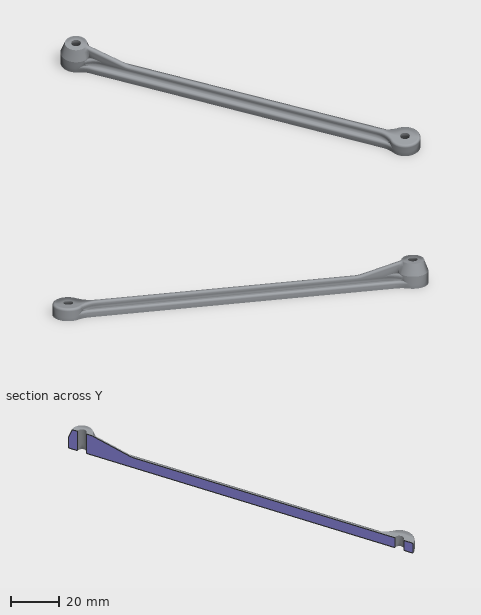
import cadquery as cq
import math

length = 160.0
eye_diameter = 13.0
total_height = 10.5
beam_height = 5.5
hole_diameter = 4.0

flange_width = 9.0
flange_height = 3.0
rib_width = 2.5
edge_radius = 1.0
rib_foot_radius = 0.75
neck_radius = 10.0

boss_top_diameter = 9.3
gusset_slope = 15.0
gusset_foot_reach = 23.2
gusset_blend_radius = 11.0
gusset_root_radius = 1.5

tolerance = 0.01

eye_radius = eye_diameter / 2
eye_x = length / 2 - eye_radius
boss_height = total_height - beam_height
boss_draft = math.degrees(math.atan((eye_diameter - boss_top_diameter) / 2 / boss_height))


def beam_outline(width):
    """Plan outline of two eyes joined by a straight bar, with tangent neck arcs."""
    half = width / 2
    centre_distance = eye_radius + neck_radius
    centre_y = half + neck_radius
    neck_dx = math.sqrt(centre_distance**2 - centre_y**2)
    bar_end = eye_x - neck_dx

    share = eye_radius / centre_distance
    contact_x = eye_x - share * neck_dx
    contact_y = share * centre_y

    eye_angle = math.atan2(-centre_y, neck_dx)
    middle_angle = (eye_angle - math.pi / 2) / 2
    middle_x = bar_end + neck_radius * math.cos(middle_angle)
    middle_y = centre_y + neck_radius * math.sin(middle_angle)

    return (
        cq.Workplane("XY")
        .moveTo(-bar_end, half)
        .lineTo(bar_end, half)
        .threePointArc((middle_x, middle_y), (contact_x, contact_y))
        .threePointArc((eye_x + eye_radius, 0), (contact_x, -contact_y))
        .threePointArc((middle_x, -middle_y), (bar_end, -half))
        .lineTo(-bar_end, -half)
        .threePointArc((-middle_x, -middle_y), (-contact_x, -contact_y))
        .threePointArc((-eye_x - eye_radius, 0), (-contact_x, contact_y))
        .threePointArc((-middle_x, middle_y), (-bar_end, half))
        .close()
    )


def make_flange():
    flange = beam_outline(flange_width).extrude(flange_height)
    return flange.faces(">Z").edges().fillet(edge_radius)


def make_rib():
    """Rib and eyes with rounded top edges and a rounded foot on the flange."""
    rib = beam_outline(rib_width).extrude(beam_height)
    rib = rib.faces(">Z").edges().fillet(edge_radius)

    slab_margin = 10.0
    slab_size = (length + slab_margin, eye_diameter + slab_margin, flange_height)
    slab = cq.Workplane("XY").box(*slab_size, centered=(True, True, False))
    foot_edges = cq.selectors.BoxSelector(
        (-length / 2, -eye_radius, flange_height - tolerance),
        (length / 2, eye_radius, flange_height + tolerance),
    )
    rib = rib.union(slab).edges(foot_edges).fillet(rib_foot_radius)

    flange = make_flange()
    above_flange = beam_outline(flange_width).offset2D(-edge_radius).extrude(beam_height)
    return rib.intersect(flange.union(above_flange))


def make_eye(x):
    return cq.Workplane("XY").center(x, 0).circle(eye_radius)


def make_right_eye():
    eye = make_eye(eye_x).extrude(beam_height)
    return eye.faces(">Z").edges().fillet(edge_radius)


def make_gusset():
    """Sloped web from the boss top down to the rib, blended into the rib top."""
    slope = math.radians(gusset_slope)
    foot_x = -eye_x + gusset_foot_reach
    tangent_length = gusset_blend_radius * math.tan(slope / 2)
    arc_start_x = foot_x - tangent_length * math.cos(slope)
    arc_start_z = beam_height + tangent_length * math.sin(slope)
    arc_end_x = foot_x + tangent_length
    arc_middle_x = arc_end_x - gusset_blend_radius * math.sin(slope / 2)
    arc_middle_z = beam_height + gusset_blend_radius * (1 - math.cos(slope / 2))
    peak_z = beam_height + (foot_x + eye_x) * math.tan(slope)

    gusset = (
        cq.Workplane("XZ")
        .moveTo(-eye_x, flange_height)
        .lineTo(-eye_x, peak_z)
        .lineTo(arc_start_x, arc_start_z)
        .threePointArc((arc_middle_x, arc_middle_z), (arc_end_x, beam_height))
        .lineTo(arc_end_x, flange_height)
        .close()
        .extrude(rib_width / 2, both=True)
    )
    top_edges = cq.selectors.BoxSelector(
        (-eye_x + tolerance, -rib_width, beam_height + tolerance),
        (arc_end_x, rib_width, peak_z - tolerance),
    )
    return gusset.edges(top_edges).fillet(edge_radius)


def make_holes():
    hole_centres = [(-eye_x, 0), (eye_x, 0)]
    return cq.Workplane("XY").pushPoints(hole_centres).circle(hole_diameter / 2).extrude(total_height)


def make_boss_with_gusset():
    """Tapered boss on the left eye with the gusset joined on by a rounded root."""
    cone_overrun = 2.5
    cone_height = boss_height + cone_overrun
    base = make_eye(-eye_x).extrude(beam_height)
    cone = make_eye(-eye_x).extrude(cone_height, taper=boss_draft).translate((0, 0, beam_height))
    joined = base.union(cone).union(make_gusset())

    root_edges = cq.selectors.BoxSelector(
        (-eye_x + tolerance, -rib_width, beam_height + tolerance),
        (-eye_x + eye_radius, rib_width, total_height),
    )
    joined = joined.edges(root_edges).fillet(gusset_root_radius)

    below_boss_top = cq.Workplane("XY").box(length, eye_diameter, total_height, centered=(True, True, False))
    return joined.intersect(below_boss_top)


def make_bar():
    """Flange and rib with the left eye cylinder cleared, ready to receive the boss."""
    left_eye = make_eye(-eye_x).extrude(beam_height)
    return make_rib().union(make_flange()).cut(left_eye)


result = (
    make_bar()
    .union(make_right_eye())
    .union(make_boss_with_gusset())
    .cut(make_holes())
)